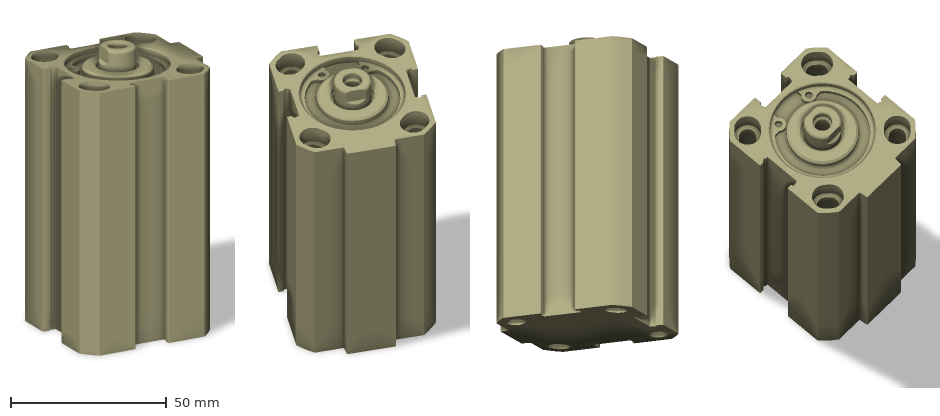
import cadquery as cq
import math


TOTAL_HEIGHT = 95.5
ROD_PROTRUSION = 6.0
HOUSING_HEIGHT = TOTAL_HEIGHT - ROD_PROTRUSION
HALF_WIDTH = 23.0
HALF_DEPTH = 24.0
CORNER_RADIUS = 30.0

RAIL_TOP_Y = 27.0
RAIL_ROOT_HALF_WIDTH = 8.4
RAIL_TOP_HALF_WIDTH = 8.0

SLOT_FLOOR = 19.1
SLOT_LIP = 21.1
SLOT_MOUTH_HALF_WIDTH = 6.0
SLOT_INNER_HALF_WIDTH = 6.5
SLOT_GROOVE_X = 20.5
SLOT_GROOVE_DIAMETER = 1.6
SLOT_FILLET = 0.3
SLOT_PLACES = ((-90, HALF_DEPTH), (0, HALF_WIDTH), (180, HALF_WIDTH))

MOUNT_X = 16.4
MOUNT_Y = 17.6
MOUNT_STRETCH = 1.6
MOUNT_HOLE_DIAMETER = 5.5
COUNTERBORE_DIAMETER = 8.6
COUNTERBORE_DEPTH = 6.0

BORE_DIAMETER = 34.1
BORE_CHAMFER = 0.3
RING_GROOVE_DIAMETER = 35.8
BORE_DEPTH = 17.2

RING_DEPTH = 2.2
RING_THICKNESS = 1.5
RING_INNER_DIAMETER = 30.75
RING_GAP_HALF_WIDTH = 5.7
RING_END_Y = -10.8
RING_END_FILLET = 1.4
LUG_DIAMETER = 4.9
LUG_HOLE_DIAMETER = 2.5
LUG_X = 7.2
LUG_Y = -12.6
RING_TOP_Z = HOUSING_HEIGHT - RING_DEPTH
RING_BOTTOM_Z = RING_TOP_Z - RING_THICKNESS
BORE_FLOOR_Z = HOUSING_HEIGHT - BORE_DEPTH

BOSS_DIAMETER = 23.0
BOSS_CHAMFER = 0.7
BOSS_DEPTH = 0.7
BOSS_ROOT_FLARE = 0.5
WIPER_MOUTH_DIAMETER = 14.6
WIPER_RECESS_DIAMETER = 13.7
WIPER_RECESS_DEPTH = 1.4
CLEARANCE_DIAMETER = 12.5
CLEARANCE_DEPTH = 2.9
BOSS_TOP_Z = HOUSING_HEIGHT - BOSS_DEPTH

ROD_DIAMETER = 12.0
ROD_FILLET = 1.1
FLAT_HALF_WIDTH = 5.1
FLAT_HEIGHT = 4.6
HOLE_MOUTH_DIAMETER = 6.9
HOLE_ENTRY_DIAMETER = 6.2
HOLE_ENTRY_DEPTH = 2.4
HOLE_DIAMETER = 4.9
HOLE_DEPTH = 11.5
HOLE_TIP_ANGLE = 118


def cylinder(diameter, bottom, top):
    """Upright cylinder on the rod axis."""
    return cq.Workplane("XY").workplane(offset=bottom).circle(diameter / 2).extrude(top - bottom)


def cone(bottom_diameter, top_diameter, bottom, top):
    """Upright cone or truncated cone on the rod axis."""
    solid = cq.Solid.makeCone(bottom_diameter / 2, top_diameter / 2, top - bottom, cq.Vector(0, 0, bottom))
    return cq.Workplane(obj=solid)


def housing_block():
    """Rectangular block with rounded corners and the tapered rail."""
    block = cq.Workplane("XY").rect(2 * HALF_WIDTH, 2 * HALF_DEPTH).extrude(HOUSING_HEIGHT)
    block = block.intersect(cylinder(2 * CORNER_RADIUS, 0, HOUSING_HEIGHT))
    rail = (
        cq.Workplane("XY")
        .moveTo(-RAIL_ROOT_HALF_WIDTH, 0)
        .lineTo(-RAIL_ROOT_HALF_WIDTH, HALF_DEPTH)
        .lineTo(-RAIL_TOP_HALF_WIDTH, RAIL_TOP_Y)
        .lineTo(RAIL_TOP_HALF_WIDTH, RAIL_TOP_Y)
        .lineTo(RAIL_ROOT_HALF_WIDTH, HALF_DEPTH)
        .lineTo(RAIL_ROOT_HALF_WIDTH, 0)
        .close()
        .extrude(HOUSING_HEIGHT)
    )
    return block.union(rail)


def sensor_slot(face):
    """Cutter for one sensor slot that opens through a face at X = face."""
    inner_length = SLOT_LIP - SLOT_FLOOR
    mouth = (
        cq.Workplane("XY")
        .moveTo(SLOT_FLOOR + SLOT_FILLET, -SLOT_MOUTH_HALF_WIDTH)
        .lineTo(face - SLOT_FILLET, -SLOT_MOUTH_HALF_WIDTH)
        .radiusArc((face, -SLOT_MOUTH_HALF_WIDTH - SLOT_FILLET), SLOT_FILLET)
        .lineTo(face, SLOT_MOUTH_HALF_WIDTH + SLOT_FILLET)
        .radiusArc((face - SLOT_FILLET, SLOT_MOUTH_HALF_WIDTH), SLOT_FILLET)
        .lineTo(SLOT_FLOOR + SLOT_FILLET, SLOT_MOUTH_HALF_WIDTH)
        .close()
        .extrude(HOUSING_HEIGHT)
    )
    inner = (
        cq.Workplane("XY")
        .center(SLOT_FLOOR + inner_length / 2, 0)
        .rect(inner_length, 2 * SLOT_INNER_HALF_WIDTH)
        .extrude(HOUSING_HEIGHT)
        .edges("|Z and <X")
        .fillet(SLOT_FILLET)
    )
    grooves = (
        cq.Workplane("XY")
        .pushPoints([(SLOT_GROOVE_X, -SLOT_MOUTH_HALF_WIDTH), (SLOT_GROOVE_X, SLOT_MOUTH_HALF_WIDTH)])
        .circle(SLOT_GROOVE_DIAMETER / 2)
        .extrude(HOUSING_HEIGHT)
    )
    return mouth.union(inner).union(grooves)


def mounting_hole(x, y):
    """Cutter for one stretched through hole with its counterbore."""
    angle = math.degrees(math.atan2(y, x)) + 90
    through = (
        cq.Workplane("XY")
        .center(x, y)
        .slot2D(MOUNT_HOLE_DIAMETER + MOUNT_STRETCH, MOUNT_HOLE_DIAMETER, angle)
        .extrude(HOUSING_HEIGHT)
    )
    counterbore = (
        cq.Workplane("XY")
        .workplane(offset=HOUSING_HEIGHT - COUNTERBORE_DEPTH)
        .center(x, y)
        .slot2D(COUNTERBORE_DIAMETER + MOUNT_STRETCH, COUNTERBORE_DIAMETER, angle)
        .extrude(COUNTERBORE_DEPTH)
    )
    return through.union(counterbore)


def make_housing():
    """Extruded housing with slots, mounting holes and the head bore."""
    body = housing_block()
    for angle, face in SLOT_PLACES:
        body = body.cut(sensor_slot(face).rotate((0, 0, 0), (0, 0, 1), angle))
    for x in (-MOUNT_X, MOUNT_X):
        for y in (-MOUNT_Y, MOUNT_Y):
            body = body.cut(mounting_hole(x, y))
    body = body.cut(cylinder(BORE_DIAMETER, BORE_FLOOR_Z, HOUSING_HEIGHT))
    mouth_diameter = BORE_DIAMETER + 2 * BORE_CHAMFER
    body = body.cut(cone(BORE_DIAMETER, mouth_diameter, HOUSING_HEIGHT - BORE_CHAMFER, HOUSING_HEIGHT))
    return body.cut(cylinder(RING_GROOVE_DIAMETER, RING_BOTTOM_Z, RING_TOP_Z))


def make_head_cover():
    """Head cover that fills the bore, with a raised boss around the rod."""
    base = cylinder(BORE_DIAMETER, BORE_FLOOR_Z, RING_BOTTOM_Z)
    boss = cylinder(BOSS_DIAMETER, RING_BOTTOM_Z, BOSS_TOP_Z).faces(">Z").chamfer(BOSS_CHAMFER)
    root = cone(
        BOSS_DIAMETER + 2 * BOSS_ROOT_FLARE, BOSS_DIAMETER, RING_BOTTOM_Z, RING_BOTTOM_Z + BOSS_ROOT_FLARE
    )
    cover = base.union(boss).union(root)
    cover = cover.cut(cylinder(ROD_DIAMETER, BORE_FLOOR_Z, BOSS_TOP_Z))
    cover = cover.cut(cylinder(CLEARANCE_DIAMETER, BOSS_TOP_Z - CLEARANCE_DEPTH, BOSS_TOP_Z))
    cover = cover.cut(cylinder(WIPER_RECESS_DIAMETER, BOSS_TOP_Z - WIPER_RECESS_DEPTH, BOSS_TOP_Z))
    mouth_height = (WIPER_MOUTH_DIAMETER - WIPER_RECESS_DIAMETER) / 2
    return cover.cut(
        cone(WIPER_RECESS_DIAMETER, WIPER_MOUTH_DIAMETER, BOSS_TOP_Z - mouth_height, BOSS_TOP_Z)
    )


def make_retaining_ring():
    """Open ring in the bore groove, with two lugs that carry plier holes."""
    lug_points = [(-LUG_X, LUG_Y), (LUG_X, LUG_Y)]
    outer_radius = RING_GROOVE_DIAMETER / 2
    plane = cq.Workplane("XY").workplane(offset=RING_BOTTOM_Z)
    window = (
        plane.circle(RING_INNER_DIAMETER / 2)
        .extrude(RING_THICKNESS)
        .intersect(
            plane.center(0, RING_END_Y + outer_radius)
            .rect(2 * outer_radius, 2 * outer_radius)
            .extrude(RING_THICKNESS)
        )
        .edges("|Z and <Y")
        .fillet(RING_END_FILLET)
    )
    gap_length = RING_END_Y + outer_radius
    gap = (
        plane.center(0, RING_END_Y - gap_length / 2)
        .rect(2 * RING_GAP_HALF_WIDTH, gap_length)
        .extrude(RING_THICKNESS)
    )
    lugs = plane.pushPoints(lug_points).circle(LUG_DIAMETER / 2).extrude(RING_THICKNESS)
    holes = plane.pushPoints(lug_points).circle(LUG_HOLE_DIAMETER / 2).extrude(RING_THICKNESS)
    ring = plane.circle(outer_radius).extrude(RING_THICKNESS)
    return ring.cut(window).cut(gap).union(lugs).cut(holes)


def make_rod():
    """Piston rod with a rounded end, two wrench flats and a stepped blind hole."""
    rod = cylinder(ROD_DIAMETER, BORE_FLOOR_Z, TOTAL_HEIGHT).faces(">Z").edges().fillet(ROD_FILLET)
    flat_bottom = TOTAL_HEIGHT - FLAT_HEIGHT
    flat_depth = ROD_DIAMETER / 2 - FLAT_HALF_WIDTH
    flat = (
        cq.Workplane("YZ")
        .moveTo(FLAT_HALF_WIDTH, TOTAL_HEIGHT)
        .lineTo(FLAT_HALF_WIDTH, flat_bottom)
        .lineTo(FLAT_HALF_WIDTH + flat_depth, flat_bottom - flat_depth)
        .lineTo(FLAT_HALF_WIDTH + flat_depth, TOTAL_HEIGHT)
        .close()
        .extrude(ROD_DIAMETER / 2, both=True)
    )
    rod = rod.cut(flat).cut(flat.mirror("XZ"))

    hole_bottom = TOTAL_HEIGHT - HOLE_DEPTH
    tip_height = HOLE_DIAMETER / 2 / math.tan(math.radians(HOLE_TIP_ANGLE / 2))
    rod = rod.cut(cylinder(HOLE_DIAMETER, hole_bottom, TOTAL_HEIGHT))
    rod = rod.cut(cone(0, HOLE_DIAMETER, hole_bottom - tip_height, hole_bottom))

    entry_bottom = TOTAL_HEIGHT - HOLE_ENTRY_DEPTH
    step_height = (HOLE_ENTRY_DIAMETER - HOLE_DIAMETER) / 2
    mouth_height = (HOLE_MOUTH_DIAMETER - HOLE_ENTRY_DIAMETER) / 2
    rod = rod.cut(cylinder(HOLE_ENTRY_DIAMETER, entry_bottom, TOTAL_HEIGHT))
    rod = rod.cut(cone(HOLE_DIAMETER, HOLE_ENTRY_DIAMETER, entry_bottom - step_height, entry_bottom))
    return rod.cut(cone(HOLE_ENTRY_DIAMETER, HOLE_MOUTH_DIAMETER, TOTAL_HEIGHT - mouth_height, TOTAL_HEIGHT))


housing = make_housing()
head_cover = make_head_cover()
retaining_ring = make_retaining_ring()
rod = make_rod()

result = cq.Compound.makeCompound([housing.val(), head_cover.val(), retaining_ring.val(), rod.val()])